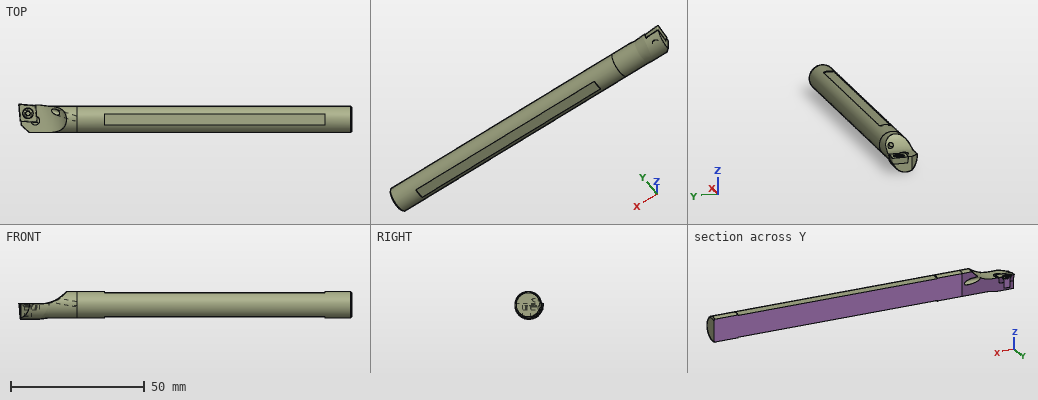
import cadquery as cq
import math


bar_length = 125.0
shank_diameter = 10.0
shank_radius = shank_diameter / 2
shank_start = 21.9
end_chamfer = 0.5
flat_start = 32.3
flat_end = 114.9
flat_width = 4.1
flat_height = math.sqrt(shank_radius**2 - (flat_width / 2) ** 2)

tip_radius = 5.3
tip_offset = tip_radius - shank_radius
tip_end = 11.4
tip_taper_angle = 7.5
top_face_height = 0.4
scoop_radius = 10.0
scoop_floor_radius = 9.0
scoop_floor_end = 9.5
front_clearance = 0.3
front_corner_y = -2.1
bevel_end_x = 4.0
coolant_diameter = 2.0
coolant_mouth = cq.Vector(14.0, 2.8, 1.6)
coolant_bottom = cq.Vector(21.3, 0.4, 0.3)

nose_y = 5.8
inscribed_diameter = 6.4
nose_angle = 80.0
lead_angle = (90 - nose_angle) / 2
clearance_angle = 7.0
insert_thickness = 2.4
nose_radius = 0.4
seat_height = top_face_height - insert_thickness
insert_side = inscribed_diameter / math.sin(math.radians(nose_angle))
lead_slope = math.tan(math.radians(lead_angle))
half_nose = math.radians(nose_angle / 2)
nose_setback = nose_radius * (math.sqrt(0.5) / math.sin(half_nose) - 1)
apex_x = -nose_setback
apex_y = nose_y + nose_setback
half_diagonal = insert_side * math.cos(half_nose)
screw_x = apex_x + half_diagonal * math.sqrt(0.5)
screw_y = apex_y - half_diagonal * math.sqrt(0.5)
far_corner_x = 2 * screw_x - apex_x
far_corner_y = 2 * screw_y - apex_y
pocket_overrun = 2.5
relief_radius = 1.6
relief_inset = 0.8

hole_mouth_diameter = 4.0
hole_mouth_depth = 0.4
screw_head_diameter = 3.8
screw_diameter = 2.8
screw_bottom = -4.4
head_cone_depth = 0.8
socket_core_diameter = 1.5
socket_lobe_diameter = 0.5
socket_lobes = 6
socket_depth = 0.6
cone_slope = (hole_mouth_diameter - screw_diameter) / head_cone_depth
cone_bottom = top_face_height - hole_mouth_depth - head_cone_depth
screw_top = cone_bottom + (screw_head_diameter - screw_diameter) / cone_slope


def vertical_cylinder(x, y, bottom, top, diameter):
    return cq.Workplane("XY", origin=(x, y, bottom)).circle(diameter / 2).extrude(top - bottom)


def rhombic_plate(side):
    """Plate with a fixed far corner and sides sloping inward below its top face."""
    long_step = side * math.cos(math.radians(lead_angle))
    short_step = side * math.sin(math.radians(lead_angle))
    outline = [
        (far_corner_x, far_corner_y),
        (far_corner_x - short_step, far_corner_y + long_step),
        (far_corner_x - short_step - long_step, far_corner_y + long_step + short_step),
        (far_corner_x - long_step, far_corner_y + short_step),
    ]
    top = cq.Workplane("XY", origin=(0, 0, top_face_height)).polyline(outline).close()
    return top.extrude(-insert_thickness, taper=clearance_angle)


def screw_hole_cone(top, top_diameter):
    """Cone on the screw axis, from the given top down to the screw thread."""
    profile = cq.Workplane("XZ", origin=(screw_x, screw_y, 0)).polyline(
        [(0, cone_bottom), (screw_diameter / 2, cone_bottom), (top_diameter / 2, top), (0, top)]
    )
    return profile.close().revolve(360, (0, 0), (0, 1))


def make_shank():
    shank = cq.Workplane("YZ", origin=(shank_start, 0, 0)).circle(shank_radius)
    shank = shank.extrude(bar_length - shank_start).faces(">X").chamfer(end_chamfer)
    flat_length = flat_end - flat_start
    for side in (1, -1):
        cutter = cq.Workplane("XY").box(flat_length, shank_diameter, shank_radius)
        center_z = side * (flat_height + shank_radius / 2)
        shank = shank.cut(cutter.translate((flat_start + flat_length / 2, 0, center_z)))
    return shank


def make_scoop():
    """Space above the top face, with a concave run-out towards the shank."""
    axis_x = scoop_floor_end - scoop_floor_radius
    rim_height = top_face_height + scoop_radius
    rim_radius = scoop_floor_radius + scoop_radius
    arc_middle = (
        scoop_floor_radius + scoop_radius * math.sqrt(0.5),
        rim_height - scoop_radius * math.sqrt(0.5),
    )
    profile = cq.Workplane("XZ", origin=(axis_x, 0, 0)).moveTo(0, top_face_height)
    profile = profile.lineTo(scoop_floor_radius, top_face_height)
    profile = profile.threePointArc(arc_middle, (rim_radius, rim_height)).lineTo(0, rim_height).close()
    return profile.revolve(360, (0, 0), (0, 1))


def make_head_blank():
    """Shank-sized neck joined to a larger, offset tip, with the front cut to an outline."""
    neck = cq.Workplane("YZ", origin=(tip_end, 0, 0)).circle(shank_radius).extrude(shank_start - tip_end)
    tip = cq.Workplane("YZ").center(tip_offset, -tip_offset).circle(tip_radius).extrude(tip_end)
    cone_front_radius = shank_radius + tip_end * math.tan(math.radians(tip_taper_angle))
    cone = cq.Solid.makeCone(
        cone_front_radius, shank_radius, tip_end, cq.Vector(0, 0, 0), cq.Vector(1, 0, 0)
    )
    tip = tip.intersect(cq.Workplane(cone))
    side = 2 * shank_radius
    front_top_x = front_clearance + (nose_y - side) * lead_slope
    front_corner_x = front_clearance + (nose_y - front_corner_y) * lead_slope
    outline = [
        (front_top_x, side),
        (front_corner_x, front_corner_y),
        (bevel_end_x, -shank_radius),
        (bevel_end_x, -side),
        (shank_start, -side),
        (shank_start, side),
    ]
    envelope = cq.Workplane("XY").polyline(outline).close().extrude(side, both=True)
    return neck.union(tip).intersect(envelope)


def make_head():
    head = make_head_blank().cut(make_scoop())

    pocket = rhombic_plate(insert_side + pocket_overrun)
    relief = vertical_cylinder(
        far_corner_x - relief_inset,
        far_corner_y + relief_inset,
        seat_height,
        top_face_height,
        2 * relief_radius,
    )
    screw_hole = vertical_cylinder(screw_x, screw_y, screw_bottom, seat_height, screw_diameter)

    direction = (coolant_bottom - coolant_mouth).normalized()
    start = coolant_mouth - direction * coolant_diameter
    length = (coolant_bottom - start).Length
    coolant_hole = cq.Solid.makeCylinder(coolant_diameter / 2, length, start, direction)
    return head.cut(pocket).cut(relief).cut(screw_hole).cut(cq.Workplane(coolant_hole))


def make_insert():
    insert = rhombic_plate(insert_side)
    nose = cq.selectors.NearestToPointSelector((apex_x, apex_y, top_face_height - insert_thickness / 2))
    insert = insert.edges("not #Z").edges(nose).fillet(nose_radius)
    cone_top = cone_bottom + head_cone_depth
    mouth = vertical_cylinder(screw_x, screw_y, cone_top, top_face_height, hole_mouth_diameter)
    bore = vertical_cylinder(screw_x, screw_y, seat_height, cone_bottom, screw_diameter)
    return insert.cut(mouth).cut(screw_hole_cone(cone_top, hole_mouth_diameter)).cut(bore)


def make_screw():
    screw = vertical_cylinder(screw_x, screw_y, screw_bottom, cone_bottom, screw_diameter)
    screw = screw.union(screw_hole_cone(screw_top, screw_head_diameter))
    socket_bottom = screw_top - socket_depth
    socket = vertical_cylinder(screw_x, screw_y, socket_bottom, screw_top, socket_core_diameter)
    for i in range(socket_lobes):
        angle = 2 * math.pi * i / socket_lobes
        lobe_x = screw_x + socket_core_diameter / 2 * math.cos(angle)
        lobe_y = screw_y + socket_core_diameter / 2 * math.sin(angle)
        socket = socket.union(
            vertical_cylinder(lobe_x, lobe_y, socket_bottom, screw_top, socket_lobe_diameter)
        )
    return screw.cut(socket)


shank = make_shank()
head = make_head()
insert = make_insert()
screw = make_screw()
result = cq.Compound.makeCompound([shank.val(), head.val(), insert.val(), screw.val()])